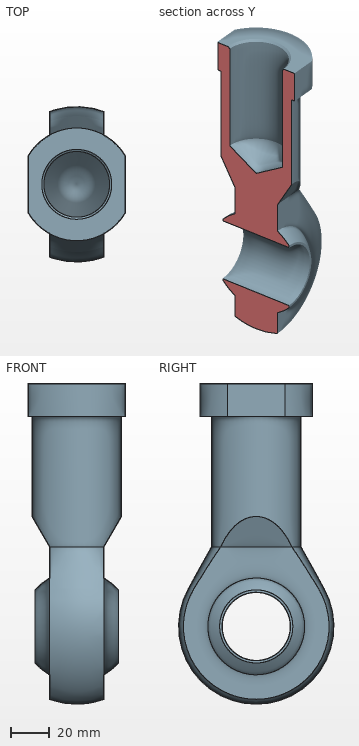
import cadquery as cq
import math


eye_radius = 40.0
eye_width = 28.0

ball_diameter = 57.15
ball_width = 43.0
ball_bore_diameter = 35.0

top_z = 125.0
shank_radius = 46.0 / 2
shank_base_z = 41.0
shoulder_angle = 30.0
collar_radius = 58.0 / 2
collar_height = 17.0
collar_flats = 50.0

socket_diameter = 33.84
thread_diameter = 36.0
socket_depth = 60.0
drill_point_angle = 118.0


def make_eye_and_shank():
    """Revolve the sphere, the neck cone tangent to it and the shank."""
    base_distance = math.hypot(shank_radius, shank_base_z)
    base_elevation = math.atan2(shank_base_z, shank_radius)
    tangent_elevation = base_elevation - math.acos(eye_radius / base_distance)
    tangent_r = eye_radius * math.cos(tangent_elevation)
    tangent_z = eye_radius * math.sin(tangent_elevation)
    return (
        cq.Workplane("XZ")
        .moveTo(0, -eye_radius)
        .threePointArc((eye_radius, 0), (tangent_r, tangent_z))
        .lineTo(shank_radius, shank_base_z)
        .lineTo(shank_radius, top_z)
        .lineTo(0, top_z)
        .close()
        .revolve(360, (0, 0, 0), (0, 1, 0))
    )


def make_flat_envelope():
    """Slab as thick as the eye that widens over sloped shoulders to the shank."""
    half_eye = eye_width / 2
    shoulder_height = (shank_radius - half_eye) / math.tan(math.radians(shoulder_angle))
    shoulder_top_z = shank_base_z + shoulder_height
    return (
        cq.Workplane("XZ")
        .polyline([
            (-half_eye, -eye_radius),
            (half_eye, -eye_radius),
            (half_eye, shank_base_z),
            (shank_radius, shoulder_top_z),
            (shank_radius, top_z),
            (-shank_radius, top_z),
            (-shank_radius, shoulder_top_z),
            (-half_eye, shank_base_z),
        ])
        .close()
        .extrude(eye_radius, both=True)
    )


def make_collar():
    """Round collar with two wrench flats facing X."""
    collar = cq.Workplane("XY").circle(collar_radius).extrude(collar_height)
    flats = cq.Workplane("XY").rect(collar_flats, 2 * collar_radius).extrude(collar_height)
    return collar.intersect(flats).translate((0, 0, top_z - collar_height))


def make_ball():
    """Ball truncated to its width, revolved about X."""
    radius = ball_diameter / 2
    half_width = ball_width / 2
    end_radius = math.sqrt(radius**2 - half_width**2)
    return (
        cq.Workplane("XY")
        .moveTo(-half_width, 0)
        .lineTo(-half_width, end_radius)
        .threePointArc((0, radius), (half_width, end_radius))
        .lineTo(half_width, 0)
        .close()
        .revolve(360, (0, 0, 0), (1, 0, 0))
    )


def make_ball_bore():
    """Through bore of the ball, along X."""
    bore = cq.Workplane("YZ").circle(ball_bore_diameter / 2)
    return bore.extrude(ball_width / 2, both=True)


def make_socket():
    """Blind socket with a 45 degree mouth chamfer and a conical drill point."""
    socket_radius = socket_diameter / 2
    mouth_radius = thread_diameter / 2
    chamfer = mouth_radius - socket_radius
    bottom_z = top_z - socket_depth
    point_depth = socket_radius / math.tan(math.radians(drill_point_angle / 2))
    return (
        cq.Workplane("XZ")
        .polyline([
            (0, top_z),
            (mouth_radius, top_z),
            (socket_radius, top_z - chamfer),
            (socket_radius, bottom_z),
            (0, bottom_z - point_depth),
        ])
        .close()
        .revolve(360, (0, 0, 0), (0, 1, 0))
    )


body = make_eye_and_shank().intersect(make_flat_envelope())
result = (
    body.union(make_collar())
    .union(make_ball())
    .cut(make_ball_bore())
    .cut(make_socket())
)